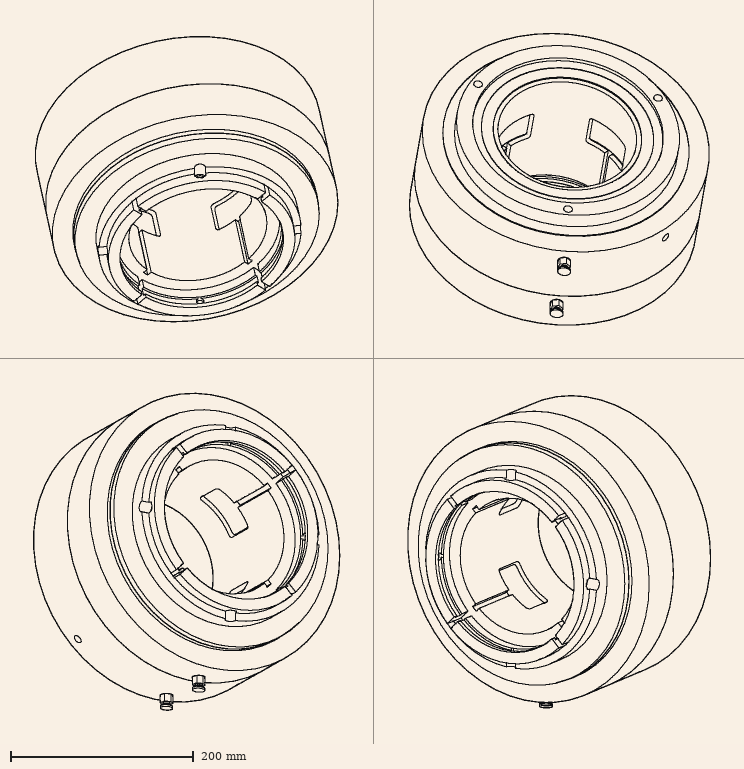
import cadquery as cq
import math

axis_turn = -14.3

plate_start = 19.2
rim_start = 20.5
parting = 95.0
rim_end = 143.0
ring_step = 148.7
ring_end = 156.7
collar_end = 177.5
hub_end = 190.0

boss_radius = 122.8
plate_radius = 135.5
rim_radius = 158.0
ring_radius = 135.2
collar_radius = 112.0
hub_radius = 103.3

recess_radius = 105.0
recess_depth = 4.7
bearing_radius = 95.0
bearing_depth = 5.5
sleeve_radius = 81.7
sleeve_start = 7.0
bore_radius = 76.5
socket_radius = 90.5
socket_depth = 27.5
groove_radius = 93.2
groove_inset = 5.5
groove_width = 10.0

parting_gap = 0.5
parting_gap_depth = 3.5

mount_hole_diameter = 9.5
mount_hole_depth = 32.0
mount_circle_radius = 114.5
mount_angles = (30, 150, 270)

vent_diameter = 9.5
vent_station = 37.5
vent_depth = 15.0
vent_angle = 225

screw_station = 178.3
screw_seat_diameter = 12.5
screw_seat_radius = 96.2
screw_hole_diameter = 8.0
screw_angles = (0, 90, 180, 270)

slot_angles = (45, 135, 225, 315)
window_start = 56.0
window_length = 40.5
window_width = 56.0
window_corner = 4.0
slit_width = 6.5

cut_margin = 3.5

fitting_stations = (37.7, 108.0)
seat_radius = rim_radius - 0.5
lowest_angle = 270
hex_flats = 12.5
hex_corners = hex_flats / math.cos(math.pi / 6)
hex_height = 8.7
neck_diameter = 8.0
neck_height = 2.0
fitting_collar_diameter = 10.0
fitting_collar_height = 1.7
oval_length = 14.5
oval_width = 12.5
oval_height = 2.5


def turned(points):
    """Revolve (station, radius) points about the main axis."""
    return cq.Workplane("XY").polyline(points).close().revolve(360, (0, 0, 0), (1, 0, 0))


def radial_plane(station, angle, radius):
    """Plane facing outward at a station; its x direction runs along the main axis."""
    turn = math.radians(angle)
    outward = (0, math.cos(turn), math.sin(turn))
    origin = (station, radius * outward[1], radius * outward[2])
    return cq.Workplane(cq.Plane(origin=origin, xDir=(1, 0, 0), normal=outward))


def radial_hole(station, angle, diameter, inner_radius, outer_radius):
    start = radial_plane(station, angle, inner_radius)
    return start.circle(diameter / 2).extrude(outer_radius - inner_radius)


def fitting_seat(station):
    """Flat pad cut into the rim, at its lowest point, for one fitting."""
    return radial_hole(station, lowest_angle, hex_corners, seat_radius, rim_radius + cut_margin)


def make_front_housing():
    body = turned([
        (recess_depth, recess_radius),
        (0, recess_radius),
        (0, boss_radius),
        (plate_start, boss_radius),
        (plate_start, plate_radius),
        (rim_start, plate_radius),
        (rim_start, rim_radius),
        (parting - parting_gap, rim_radius),
        (parting - parting_gap, rim_radius - parting_gap_depth),
        (parting, rim_radius - parting_gap_depth),
        (parting, sleeve_radius),
        (bearing_depth, sleeve_radius),
        (bearing_depth, bearing_radius),
        (recess_depth, bearing_radius),
    ])
    for angle in mount_angles:
        turn = math.radians(angle)
        spot = (mount_circle_radius * math.cos(turn), mount_circle_radius * math.sin(turn))
        hole = cq.Workplane("YZ").center(*spot).circle(mount_hole_diameter / 2).extrude(mount_hole_depth)
        body = body.cut(hole)
    vent = radial_hole(vent_station, vent_angle, vent_diameter, rim_radius - vent_depth, rim_radius + cut_margin)
    return body.cut(vent).cut(fitting_seat(fitting_stations[0]))


def slot_cutter(angle):
    """Window and slit through the sleeve wall; in the socket the slit also cuts to the hub radius."""
    middle = window_start + window_length / 2
    window = (
        radial_plane(middle, angle, 0)
        .rect(window_length, window_width)
        .extrude(rim_radius)
        .edges(cq.selectors.ParallelDirSelector(radial_plane(middle, angle, 0).plane.zDir))
        .fillet(window_corner)
    )
    slit_middle = (middle + hub_end) / 2
    slit = radial_plane(slit_middle, angle, 0).rect(hub_end - middle, slit_width).extrude(rim_radius)
    shoulder = hub_end - socket_depth
    sleeve_zone = cq.Workplane("YZ").circle(sleeve_radius).extrude(hub_end)
    end_zone = cq.Workplane("YZ", origin=(shoulder, 0, 0)).circle(hub_radius).extrude(socket_depth)
    return window.union(slit).intersect(sleeve_zone.union(end_zone))


def make_rear_hub():
    shoulder = hub_end - socket_depth
    groove_end = hub_end - groove_inset
    groove_start = groove_end - groove_width
    body = turned([
        (sleeve_start, bore_radius),
        (sleeve_start, sleeve_radius),
        (parting, sleeve_radius),
        (parting, rim_radius),
        (rim_end, rim_radius),
        (rim_end, plate_radius),
        (ring_step, plate_radius),
        (ring_step, ring_radius),
        (ring_end, ring_radius),
        (ring_end, collar_radius),
        (collar_end, collar_radius),
        (collar_end, hub_radius),
        (hub_end, hub_radius),
        (hub_end, socket_radius),
        (groove_end, socket_radius),
        (groove_end, groove_radius),
        (groove_start, groove_radius),
        (groove_start, socket_radius),
        (shoulder, socket_radius),
        (shoulder, bore_radius),
    ])
    for angle in slot_angles:
        body = body.cut(slot_cutter(angle))
    for angle in screw_angles:
        body = body.cut(radial_hole(screw_station, angle, screw_seat_diameter, screw_seat_radius, rim_radius))
        body = body.cut(radial_hole(screw_station, angle, screw_hole_diameter, bore_radius, rim_radius))
    return body.cut(fitting_seat(fitting_stations[1]))


def make_fitting(station):
    """Hex body, neck, round collar and oval ring; the hex corners and the oval are square to X and Y."""
    fitting = cq.Workplane("XY", origin=(0, 0, -seat_radius)).polygon(6, hex_corners).extrude(-hex_height)
    fitting = fitting.faces("<Z").workplane().circle(neck_diameter / 2).extrude(neck_height)
    fitting = fitting.faces("<Z").workplane().circle(fitting_collar_diameter / 2).extrude(fitting_collar_height)
    fitting = fitting.faces("<Z").workplane().ellipse(oval_width / 2, oval_length / 2).extrude(oval_height)
    return fitting.rotate((0, 0, 0), (0, 0, 1), -axis_turn).translate((station, 0, 0))


def in_place(body):
    return body.rotate((0, 0, 0), (0, 0, 1), axis_turn)


front_housing = in_place(make_front_housing())
rear_hub = in_place(make_rear_hub())
fittings = [in_place(make_fitting(station)) for station in fitting_stations]

result = cq.Compound.makeCompound([
    front_housing.val(),
    rear_hub.val(),
    *[fitting.val() for fitting in fittings],
])